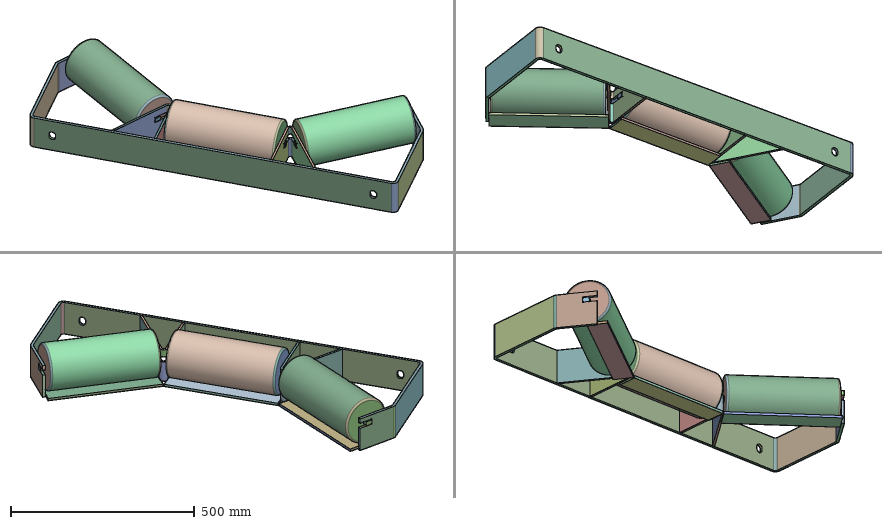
import cadquery as cq
import math


ROLLER_DIAMETER = 133.0
ROLLER_LENGTH = 315.0
ROLLER_EDGE_FILLET = 5.0
AXLE_DIAMETER = 20.0
AXLE_FLAT_THICKNESS = 14.0
TROUGH_ANGLE = 35.0
WING_TILT = 1.5
CENTRE_AXIS_Y = 125.0
CENTRE_AXIS_Z = 68.0
WING_MIDDLE_X = 335.0
WING_MIDDLE_Y = 230.0

SUPPORT_REACH = 163.0
SLOT_HEIGHT = 16.0
SLOT_OPENING = 63.0
AXLE_SHOULDER_GAP = 1.0

FRAME_LENGTH = 1050.0
FRAME_HEIGHT = 100.0
FRAME_THICKNESS = 8.0
FRAME_BEND_RADIUS = 12.0
FRAME_TIP_Y = 351.0
MOUNT_HOLE_X = 458.0
MOUNT_HOLE_WIDTH = 19.0
MOUNT_HOLE_HEIGHT = 25.0

BRACKET_THICKNESS = 6.0
BRACKET_BEND_RADIUS = 8.0

BAR_WIDTH = 58.0
BAR_THICKNESS = 7.0
BAR_LENGTH = 328.0
WING_BAR_SHIFT = 3.0

AXLE_LENGTH = 2 * (SUPPORT_REACH + FRAME_THICKNESS)
ROUND_AXLE_LENGTH = 2 * (SUPPORT_REACH - AXLE_SHOULDER_GAP)
COS_TROUGH = math.cos(math.radians(TROUGH_ANGLE))
SIN_TROUGH = math.sin(math.radians(TROUGH_ANGLE))
TAN_TROUGH = SIN_TROUGH / COS_TROUGH
WING_MIDDLE_Z = CENTRE_AXIS_Z + SUPPORT_REACH * math.sin(math.radians(WING_TILT))


def place_on_axis(body, side):
    """Move a body built along X at the origin to the centre (0), left (-1) or right (1) roller axis."""
    if side == 0:
        return body.translate((0, CENTRE_AXIS_Y, CENTRE_AXIS_Z))
    tilted = body.rotate((0, 0, 0), (0, 1, 0), -side * WING_TILT)
    turned = tilted.rotate((0, 0, 0), (0, 0, 1), side * TROUGH_ANGLE)
    return turned.translate((side * WING_MIDDLE_X, WING_MIDDLE_Y, WING_MIDDLE_Z))


def cylinder_on_x(diameter, length):
    """Cylinder along X, centred on the origin."""
    return cq.Workplane("YZ", origin=(-length / 2, 0, 0)).circle(diameter / 2).extrude(length)


def make_roller(side):
    """Roller with rounded rims and an axle flattened above and below at both ends."""
    shell = cylinder_on_x(ROLLER_DIAMETER, ROLLER_LENGTH).edges("%CIRCLE").fillet(ROLLER_EDGE_FILLET)
    round_axle = cylinder_on_x(AXLE_DIAMETER, ROUND_AXLE_LENGTH)
    flat_band = cq.Workplane("XY").box(AXLE_LENGTH, AXLE_DIAMETER, AXLE_FLAT_THICKNESS)
    flat_ends = cylinder_on_x(AXLE_DIAMETER, AXLE_LENGTH).intersect(flat_band)
    return place_on_axis(shell.union(round_axle).union(flat_ends), side)


def make_bar(side):
    """Flat bar touching the underside of a roller."""
    bar = cq.Workplane("XY").box(BAR_LENGTH, BAR_WIDTH, BAR_THICKNESS, centered=(True, False, False))
    x = -side * WING_BAR_SHIFT
    z = -ROLLER_DIAMETER / 2 - BAR_THICKNESS
    return place_on_axis(bar.translate((x, 0, z)), side)


def bent_strip(points, thickness, bend_radius):
    """Upright strip of frame height following a mid-thickness path with rounded bends."""
    start = cq.Vector(*points[0], FRAME_HEIGHT / 2)
    direction = cq.Vector(*points[1], FRAME_HEIGHT / 2) - start
    corners = [cq.Vector(x, y, FRAME_HEIGHT / 2) for x, y in points]
    path = cq.Wire.makePolygon(corners).fillet(bend_radius)
    section = cq.Plane(origin=start, xDir=(0, 0, 1), normal=direction)
    return cq.Workplane(section).rect(FRAME_HEIGHT, thickness).sweep(cq.Workplane(obj=path))


def make_slot(side, end, length):
    """Cutter for an axle slot at one end of a roller, open towards +Y."""
    slot = cq.Workplane("XY").box(
        2 * FRAME_THICKNESS, length + AXLE_DIAMETER / 2, SLOT_HEIGHT, centered=(True, False, False)
    )
    x = end * (SUPPORT_REACH + FRAME_THICKNESS / 2)
    return place_on_axis(slot.translate((x, -AXLE_DIAMETER / 2, -AXLE_FLAT_THICKNESS / 2)), side)


def make_frame(bars):
    """Back plate, two side plates and two wing plates bent from one strip, with slots and mounting holes."""
    side_x = FRAME_LENGTH / 2 - FRAME_THICKNESS / 2
    back_y = FRAME_THICKNESS / 2
    reach = SUPPORT_REACH + FRAME_THICKNESS / 2
    plate_x = WING_MIDDLE_X + reach * COS_TROUGH
    plate_y = WING_MIDDLE_Y + reach * SIN_TROUGH
    bend_y = plate_y - (side_x - plate_x) / TAN_TROUGH
    tip_x = plate_x - (FRAME_TIP_Y - plate_y) * TAN_TROUGH
    right_half = [(side_x, back_y), (side_x, bend_y), (tip_x, FRAME_TIP_Y)]
    left_half = [(-x, y) for x, y in reversed(right_half)]
    frame = bent_strip(left_half + right_half, FRAME_THICKNESS, FRAME_BEND_RADIUS)

    mount_holes = (
        cq.Workplane("XZ", origin=(0, 0, FRAME_HEIGHT / 2))
        .pushPoints([(-MOUNT_HOLE_X, 0), (MOUNT_HOLE_X, 0)])
        .slot2D(MOUNT_HOLE_HEIGHT, MOUNT_HOLE_WIDTH, 90)
        .extrude(-FRAME_THICKNESS)
    )
    frame = frame.cut(mount_holes)
    for side in (-1, 1):
        frame = frame.cut(make_slot(side, side, SLOT_OPENING)).cut(bars[side])
    return frame


def make_bracket(side, bars):
    """V-shaped bracket between the centre roller and a wing roller, standing on the back plate."""
    leg_x = SUPPORT_REACH + BRACKET_THICKNESS / 2
    plate_x = WING_MIDDLE_X - leg_x * COS_TROUGH
    plate_y = WING_MIDDLE_Y - leg_x * SIN_TROUGH
    apex_y = plate_y + (plate_x - leg_x) / TAN_TROUGH
    foot_x = plate_x + plate_y * TAN_TROUGH
    points = [(side * leg_x, 0), (side * leg_x, apex_y), (side * foot_x, 0)]
    bracket = bent_strip(points, BRACKET_THICKNESS, BRACKET_BEND_RADIUS)

    back_plate = cq.Workplane("XY").box(FRAME_LENGTH, 2 * FRAME_THICKNESS, 3 * FRAME_HEIGHT)
    bracket = bracket.cut(back_plate)
    bracket = bracket.cut(make_slot(0, side, SLOT_OPENING)).cut(make_slot(side, -side, SLOT_OPENING))
    return bracket.cut(bars[0]).cut(bars[side])


positions = (-1, 0, 1)
rollers = [make_roller(side) for side in positions]
bars = {side: make_bar(side) for side in positions}
brackets = [make_bracket(side, bars) for side in (-1, 1)]
frame = make_frame(bars)

result = cq.Compound.makeCompound(
    [body.val() for body in [frame, *brackets, *rollers, *bars.values()]]
)